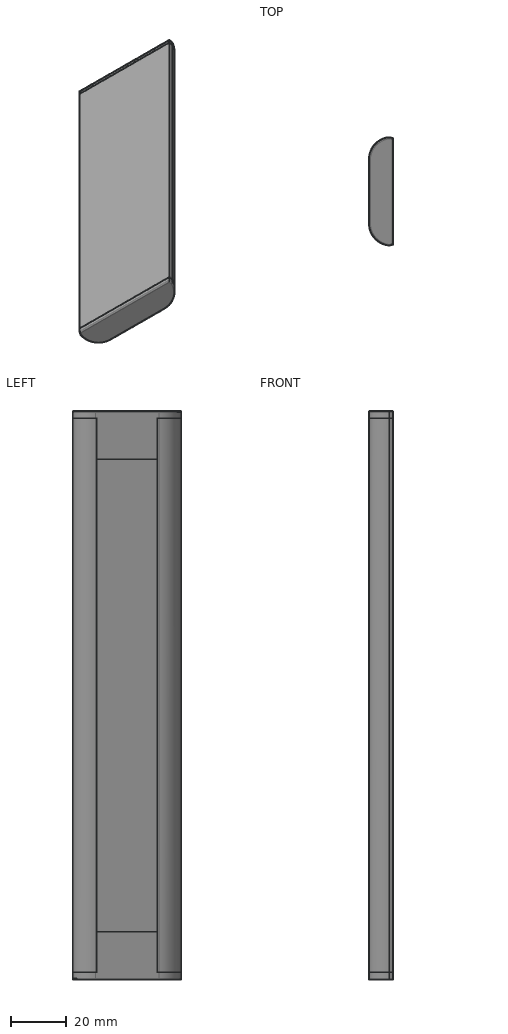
import cadquery as cq
import math

length = 205.0
width = 39.2
depth = 8.8

side_radius = 8.2
taper_length = 1.5
taper_inset = 0.5
half_width = width / 2
back_x = depth / 2
face_x = -back_x
widest_x = back_x - taper_length
half_back = half_width - taper_inset

arc_centre_x = face_x + side_radius
arc_end_angle = math.acos((arc_centre_x - widest_x) / side_radius)
arc_centre_y = half_width - side_radius * math.sin(arc_end_angle)
arc_middle_x = arc_centre_x - side_radius * math.cos(arc_end_angle / 2)
arc_middle_y = arc_centre_y + side_radius * math.sin(arc_end_angle / 2)

cap_thickness = 2.7
rim_radius = 0.51
tongue_length = 14.8
shell_length = length - 2 * cap_thickness
shell_end = shell_length / 2

channel_width = 21.7
channel_depth = 2.0
panel_length = shell_length - 2 * tongue_length


def profile_bar(bar_length):
    """Bar with the outer cross-section, centred on the origin along Z."""
    return (
        cq.Workplane("XY", origin=(0, 0, -bar_length / 2))
        .moveTo(back_x, -half_back)
        .lineTo(back_x, half_back)
        .lineTo(widest_x, half_width)
        .threePointArc((arc_middle_x, arc_middle_y), (face_x, arc_centre_y))
        .lineTo(face_x, -arc_centre_y)
        .threePointArc((arc_middle_x, -arc_middle_y), (widest_x, -half_width))
        .close()
        .extrude(bar_length)
    )


def channel_strip(strip_length):
    """Flat strip that fits the channel, flush with the face and centred along Z."""
    strip_x = face_x + channel_depth / 2
    return cq.Workplane("XY").box(channel_depth, channel_width, strip_length).translate((strip_x, 0, 0))


def make_shell():
    """Long outer body with the channel running through its full length."""
    return profile_bar(shell_length).cut(channel_strip(shell_length))


def make_top_cap():
    """End cap with a rounded outer rim and a tongue that reaches down into the channel."""
    plate = profile_bar(cap_thickness).faces(">Z").edges().fillet(rim_radius)
    plate = plate.translate((0, 0, shell_end + cap_thickness / 2))
    tongue = channel_strip(tongue_length).translate((0, 0, shell_end - tongue_length / 2))
    return plate.union(tongue).clean()


def make_bottom_cap():
    """Mirror image of the top cap."""
    return make_top_cap().mirror("XY")


def make_panel():
    """Face panel between the ends of the two tongues."""
    return channel_strip(panel_length)


shell = make_shell()
top_cap = make_top_cap()
bottom_cap = make_bottom_cap()
panel = make_panel()

result = cq.Compound.makeCompound([shell.val(), top_cap.val(), bottom_cap.val(), panel.val()])